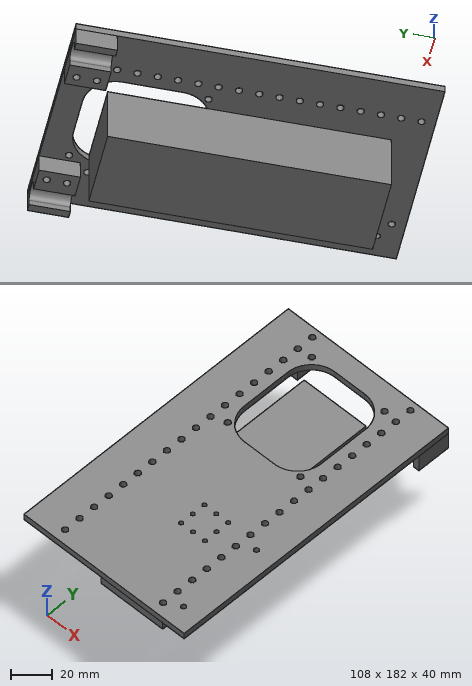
import cadquery as cq


PLATE_WIDTH = 108.0
PLATE_LENGTH = 182.0
PLATE_THICKNESS = 4.0
PLATE_BACK = PLATE_LENGTH / 2

ROW_HOLE_DIAMETER = 3.5
ROW_HOLE_COUNT = 18
ROW_SPACING = 66.0
ROW_LENGTH = 170.2
ROW_BACK_MARGIN = 5.0

WINDOW_WIDTH = 52.0
WINDOW_LENGTH = 62.0
WINDOW_BACK_MARGIN = 13.0
WINDOW_CORNER_RADIUS = 16.0
CORNER_HOLE_DIAMETER = 3.5
CORNER_HOLE_SPACING_X = 49.0
CORNER_HOLE_SPACING_Y = 57.9
CORNER_HOLE_BACK_MARGIN = 14.0

RING_HOLE_DIAMETER = 2.4
RING_PITCH = 8.0
RING_CENTER_X = 12.0
RING_CENTER_Y = -34.0

EDGE_HOLE_DIAMETER = 3.0
EDGE_HOLE_X = 41.9
EDGE_HOLE_SPACING = 50.0
EDGE_HOLE_FRONT_MARGIN = 12.0

CLAMP_WIDTH = 26.0
CLAMP_LENGTH = 20.4
CLAMP_HEIGHT = 10.7
SLOT_WIDTH = 10.2
SLOT_HEIGHT = 8.4
SLOT_EDGE_DISTANCE = 9.0

BLOCK_WIDTH = 41.7
BLOCK_LENGTH = 140.0
BLOCK_BACK_MARGIN = 23.0
BLOCK_GAP = 2.5
TOTAL_HEIGHT = 40.0
BLOCK_HEIGHT = TOTAL_HEIGHT - PLATE_THICKNESS - BLOCK_GAP


def hole_cutter(points, diameter, height=PLATE_THICKNESS):
    """Cylinders at the given points, rising from Z = 0, or going down when the height is negative."""
    return cq.Workplane("XY").pushPoints(points).circle(diameter / 2).extrude(height)


def row_hole_points():
    pitch = ROW_LENGTH / (ROW_HOLE_COUNT - 1)
    first_y = PLATE_BACK - ROW_BACK_MARGIN
    return [
        (side * ROW_SPACING / 2, first_y - index * pitch)
        for side in (-1, 1)
        for index in range(ROW_HOLE_COUNT)
    ]


def corner_hole_points():
    back_y = PLATE_BACK - CORNER_HOLE_BACK_MARGIN
    return [
        (side * CORNER_HOLE_SPACING_X / 2, y)
        for side in (-1, 1)
        for y in (back_y, back_y - CORNER_HOLE_SPACING_Y)
    ]


def ring_hole_points():
    """A 3 x 3 grid without its middle point."""
    return [
        (RING_CENTER_X + column * RING_PITCH, RING_CENTER_Y + row * RING_PITCH)
        for column in (-1, 0, 1)
        for row in (-1, 0, 1)
        if (column, row) != (0, 0)
    ]


def edge_hole_points():
    front_y = -PLATE_LENGTH / 2 + EDGE_HOLE_FRONT_MARGIN
    return [(EDGE_HOLE_X, front_y), (EDGE_HOLE_X, front_y + EDGE_HOLE_SPACING)]


def window_cutter():
    center_y = PLATE_BACK - WINDOW_BACK_MARGIN - WINDOW_LENGTH / 2
    return (
        cq.Workplane("XY")
        .center(0, center_y)
        .rect(WINDOW_WIDTH, WINDOW_LENGTH)
        .extrude(PLATE_THICKNESS)
        .edges("|Z")
        .fillet(WINDOW_CORNER_RADIUS)
    )


def make_plate():
    plate = cq.Workplane("XY").rect(PLATE_WIDTH, PLATE_LENGTH).extrude(PLATE_THICKNESS)
    plate = plate.cut(window_cutter())
    plate = plate.cut(hole_cutter(row_hole_points(), ROW_HOLE_DIAMETER))
    plate = plate.cut(hole_cutter(corner_hole_points(), CORNER_HOLE_DIAMETER))
    plate = plate.cut(hole_cutter(ring_hole_points(), RING_HOLE_DIAMETER))
    return plate.cut(hole_cutter(edge_hole_points(), EDGE_HOLE_DIAMETER))


def make_clamp(side):
    """Clamp on the left (side = -1) or right (side = 1), with a round-topped slot open below."""
    outer_x = side * PLATE_WIDTH / 2
    inner_x = outer_x - side * CLAMP_WIDTH
    slot_x = outer_x - side * SLOT_EDGE_DISTANCE
    slot_outer_x = slot_x + side * SLOT_WIDTH / 2
    slot_inner_x = slot_x - side * SLOT_WIDTH / 2
    slot_top = SLOT_HEIGHT - CLAMP_HEIGHT
    arc_start = slot_top - SLOT_WIDTH / 2
    clamp = (
        cq.Workplane("XZ", origin=(0, PLATE_BACK, 0))
        .moveTo(outer_x, 0)
        .lineTo(outer_x, -CLAMP_HEIGHT)
        .lineTo(slot_outer_x, -CLAMP_HEIGHT)
        .lineTo(slot_outer_x, arc_start)
        .threePointArc((slot_x, slot_top), (slot_inner_x, arc_start))
        .lineTo(slot_inner_x, -CLAMP_HEIGHT)
        .lineTo(inner_x, -CLAMP_HEIGHT)
        .lineTo(inner_x, 0)
        .close()
        .extrude(CLAMP_LENGTH)
    )
    return clamp.cut(hole_cutter(row_hole_points(), ROW_HOLE_DIAMETER, -CLAMP_HEIGHT))


def make_block():
    center_y = PLATE_BACK - BLOCK_BACK_MARGIN - BLOCK_LENGTH / 2
    return (
        cq.Workplane("XY", origin=(0, center_y, -BLOCK_GAP))
        .rect(BLOCK_WIDTH, BLOCK_LENGTH)
        .extrude(-BLOCK_HEIGHT)
    )


plate = make_plate()
clamps = [make_clamp(side) for side in (-1, 1)]
block = make_block()

result = cq.Compound.makeCompound([plate.val(), *[clamp.val() for clamp in clamps], block.val()])